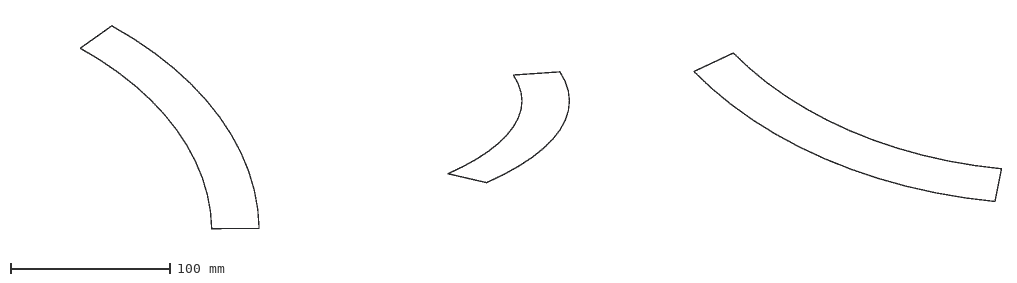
import cadquery as cq
import math

length = 223.0
depth = 51.0
thickness = 0.2
half_angle = math.radians(24.0)

outer_radius = length / 2 / math.sin(half_angle)
inner_radius = (outer_radius - depth) / math.cos(half_angle)


def arc_point(radius, angle):
    """Point on an arc about the origin, with the angle measured from +Y."""
    return (radius * math.sin(angle), radius * math.cos(angle))


result = (
    cq.Workplane("XY")
    .moveTo(*arc_point(outer_radius, -half_angle))
    .threePointArc((0, outer_radius), arc_point(outer_radius, half_angle))
    .lineTo(*arc_point(inner_radius, half_angle))
    .threePointArc((0, inner_radius), arc_point(inner_radius, -half_angle))
    .close()
    .extrude(thickness)
)